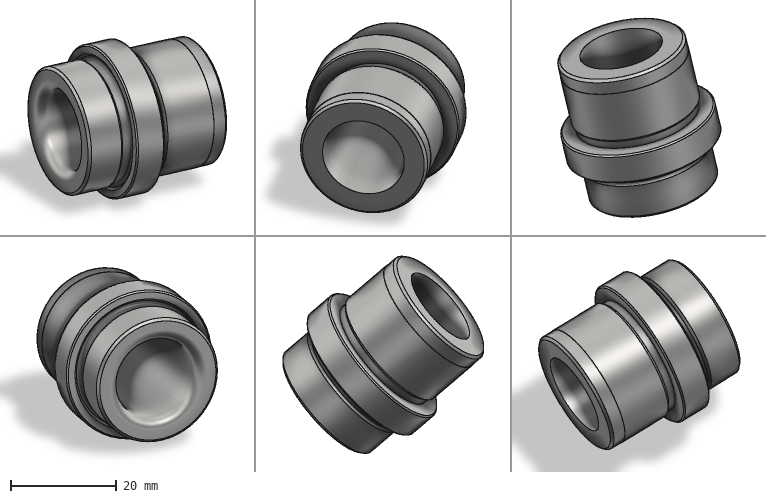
import cadquery as cq

length = 30.0
flange_radius = 15.0
body_radius = 12.5
groove_radius = 12.0
bore_radius = 8.0
bore_mouth_round = 2.0

relief_radius = 12.8
relief_depth = 0.5
relief_flare = 0.48
relief_root_round = 0.45

tail_radius = 12.45
tail_length = 3.0

front_body_end = 7.5
flange_start = 9.0
flange_end = 15.0
rear_body_start = 16.5

end_chamfer = 0.5
flange_chamfer = 0.3
groove_chamfer = body_radius - groove_radius


def sleeve_section():
    """Half section: X is the radius, Y is the distance from the lead-in end."""
    return (
        cq.Workplane("XY")
        .moveTo(bore_radius + bore_mouth_round, 0)
        .lineTo(body_radius - end_chamfer, 0)
        .lineTo(body_radius, end_chamfer)
        .lineTo(body_radius, front_body_end - groove_chamfer)
        .lineTo(groove_radius, front_body_end)
        .lineTo(groove_radius, flange_start + relief_depth - relief_root_round)
        .radiusArc((groove_radius + relief_root_round, flange_start + relief_depth), relief_root_round)
        .lineTo(relief_radius, flange_start + relief_depth)
        .lineTo(relief_radius + relief_flare, flange_start)
        .lineTo(flange_radius - flange_chamfer, flange_start)
        .lineTo(flange_radius, flange_start + flange_chamfer)
        .lineTo(flange_radius, flange_end - flange_chamfer)
        .lineTo(flange_radius - flange_chamfer, flange_end)
        .lineTo(groove_radius, flange_end)
        .lineTo(groove_radius, rear_body_start)
        .lineTo(body_radius, rear_body_start + groove_chamfer)
        .lineTo(body_radius, length - tail_length)
        .lineTo(tail_radius, length - tail_length)
        .lineTo(tail_radius, length - end_chamfer)
        .lineTo(tail_radius - end_chamfer, length)
        .lineTo(bore_radius, length)
        .lineTo(bore_radius, bore_mouth_round)
        .radiusArc((bore_radius + bore_mouth_round, 0), -bore_mouth_round)
        .close()
    )


sleeve = sleeve_section().revolve(360, (0, 0, 0), (0, 1, 0))
result = sleeve.translate((0, -length / 2, 0))